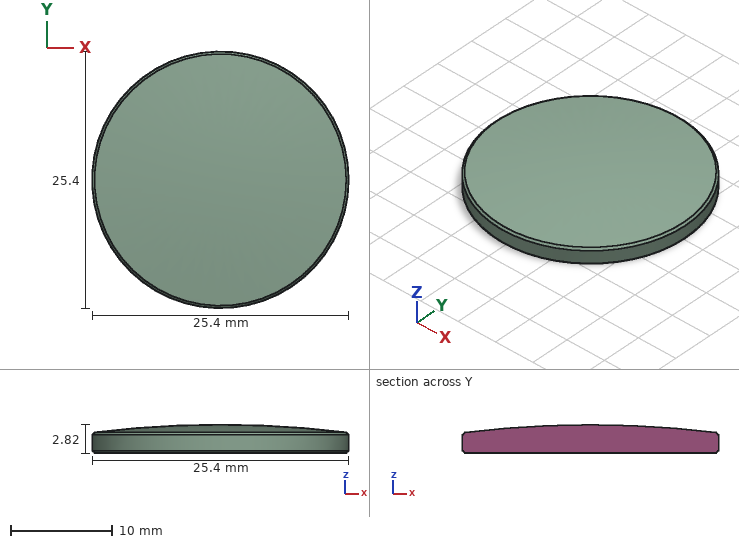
import cadquery as cq

diameter = 25.4
center_thickness = 2.82
dome_height = 0.75
chamfer = 0.25

radius = diameter / 2
dome_rim_radius = radius - chamfer
dome_rim_z = center_thickness - dome_height
sphere_radius = (dome_rim_radius**2 + dome_height**2) / (2 * dome_height)

rim = cq.Workplane("XY").circle(radius).extrude(dome_rim_z).edges().chamfer(chamfer)

sphere = cq.Workplane("XY").sphere(sphere_radius).translate((0, 0, center_thickness - sphere_radius))
lens_blank = cq.Workplane("XY").circle(dome_rim_radius).extrude(center_thickness)
dome = lens_blank.intersect(sphere)

result = rim.union(dome)